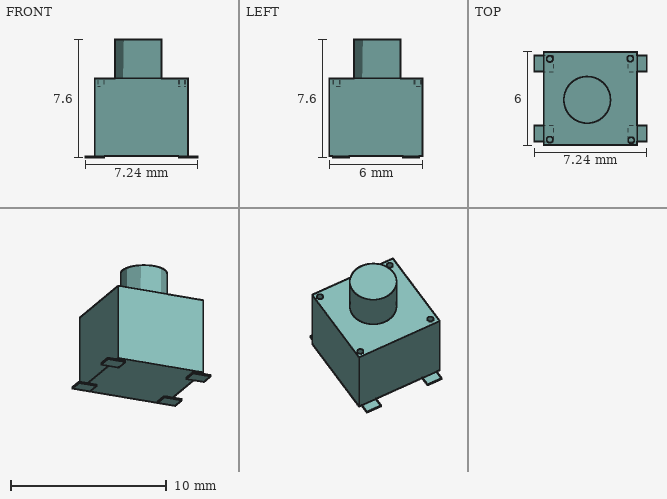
import cadquery as cq

HOUSING_SIDE = 6.0
HOUSING_HEIGHT = 5.0
PLUNGER_DIAMETER = 3.0
PLUNGER_HEIGHT = 2.5
PLUNGER_CENTER = (-0.21, -0.085)

HOLE_DIAMETER = 0.4
HOLE_DEPTH = 0.5
HOLE_CENTERS = [(-2.61, -2.64), (2.61, -2.68), (-2.61, 2.54), (2.55, 2.56)]

TERMINAL_LENGTH = 1.24
TERMINAL_WIDTH = 1.05
TERMINAL_THICKNESS = 0.1
TERMINAL_OVERHANG = 0.62
TERMINAL_ROWS_Y = (-2.25, 2.25)


def make_housing():
    """Square block with a round plunger and four blind corner holes."""
    block = cq.Workplane("XY").box(
        HOUSING_SIDE, HOUSING_SIDE, HOUSING_HEIGHT, centered=(True, True, False)
    )
    top = cq.Workplane("XY", origin=(0, 0, HOUSING_HEIGHT))
    plunger = top.center(*PLUNGER_CENTER).circle(PLUNGER_DIAMETER / 2).extrude(PLUNGER_HEIGHT)
    holes = top.pushPoints(HOLE_CENTERS).circle(HOLE_DIAMETER / 2).extrude(-HOLE_DEPTH)
    return block.union(plunger).cut(holes)


def make_terminal(side, center_y):
    """Flat strip touching the housing underside; side is -1 for -X and +1 for +X."""
    center_x = side * (HOUSING_SIDE / 2 + TERMINAL_OVERHANG - TERMINAL_LENGTH / 2)
    return (
        cq.Workplane("XY", origin=(center_x, center_y, -TERMINAL_THICKNESS))
        .box(TERMINAL_LENGTH, TERMINAL_WIDTH, TERMINAL_THICKNESS, centered=(True, True, False))
    )


housing = make_housing()
terminals = [make_terminal(side, center_y) for side in (-1, 1) for center_y in TERMINAL_ROWS_Y]

result = cq.Compound.makeCompound([housing.val(), *[terminal.val() for terminal in terminals]])